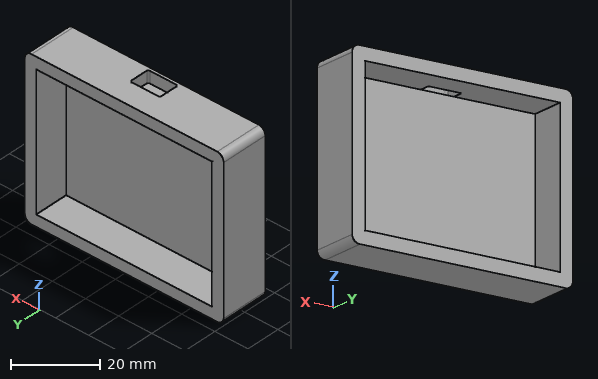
import cadquery as cq

width = 60.0
depth = 14.0
height = 47.0
corner_radius = 2.0

wall = 3.5
front_thickness = 4.0

slot_width = 9.0
slot_span = 6.0
slot_corner_radius = 0.5
slot_center_y = front_thickness


def make_body():
    """Solid block with its four long Y edges rounded."""
    block = cq.Workplane("XY").box(width, depth, height, centered=(True, False, True))
    return block.edges("|Y").fillet(corner_radius)


def make_cavity():
    """Rectangular interior that leaves the side walls and front plate, open at the back."""
    return (
        cq.Workplane("XY")
        .box(width - 2 * wall, depth - front_thickness, height - 2 * wall, centered=(True, False, True))
        .translate((0, front_thickness, 0))
    )


def make_slot():
    """Rounded connector opening, as deep as the top wall is thick."""
    return (
        cq.Workplane("XY")
        .box(slot_width, slot_span, wall, centered=(True, True, False))
        .edges("|Z")
        .fillet(slot_corner_radius)
        .translate((0, slot_center_y, height / 2 - wall))
    )


result = make_body().cut(make_cavity()).cut(make_slot())